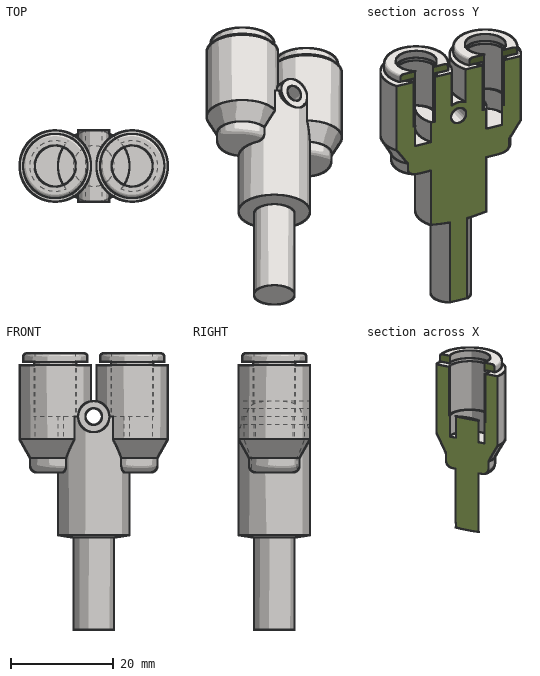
import cadquery as cq


total_height = 54.0
stem_bottom = 18.0
stem_edge = 18.45
branch_tip = 30.65
branch_neck_top = 33.6
branch_cone_top = 37.2
stem_top = 41.65
branch_top = 51.7
flange_bottom = 52.3

body_diameter = 14.0
tube_diameter = 8.0
branch_neck_diameter = 9.95
collar_diameter = 6.1
collar_hole_diameter = 3.2
sleeve_diameter = 8.35
flange_diameter = 12.6

overall_width = 29.0
branch_spacing = overall_width - body_diameter
branch_centers = (-branch_spacing / 2, branch_spacing / 2)
branch_tip_fillet = 1.45
flange_fillet = 0.7

socket_floor = branch_cone_top
sleeve_bottom = stem_top


def cylinder(diameter, bottom, top, center_x=0):
    """Upright cylinder between two heights."""
    return (
        cq.Workplane("XY", origin=(center_x, 0, bottom))
        .circle(diameter / 2)
        .extrude(top - bottom)
    )


def cross_cylinder(diameter):
    """Cylinder along Y on the level of the stem's top, as long as the body is wide."""
    return (
        cq.Workplane("XZ", origin=(0, 0, stem_top))
        .circle(diameter / 2)
        .extrude(body_diameter / 2, both=True)
    )


def make_stem():
    """Round stem with a shallow conical lower end, and the plug below it."""
    profile = [
        (0, 0),
        (tube_diameter / 2, 0),
        (tube_diameter / 2, stem_bottom),
        (body_diameter / 2, stem_edge),
        (body_diameter / 2, stem_top),
        (0, stem_top),
    ]
    return cq.Workplane("XZ").polyline(profile).close().revolve(360, (0, 0), (0, 1))


def make_branch(center_x):
    """Branch with a conical shoulder, a rounded tip and a stepped socket."""
    profile = [
        (0, branch_tip),
        (branch_neck_diameter / 2, branch_tip),
        (branch_neck_diameter / 2, branch_neck_top),
        (body_diameter / 2, branch_cone_top),
        (body_diameter / 2, branch_top),
        (0, branch_top),
    ]
    branch = cq.Workplane("XZ").polyline(profile).close().revolve(360, (0, 0), (0, 1))
    branch = branch.faces("<Z").edges().fillet(branch_tip_fillet)
    branch = branch.translate((center_x, 0, 0))
    tube_hole = cylinder(tube_diameter, socket_floor, branch_top, center_x)
    sleeve_hole = cylinder(sleeve_diameter, sleeve_bottom, branch_top, center_x)
    return branch.cut(tube_hole).cut(sleeve_hole)


def make_housing():
    """Stem, branches and cross collar; the stem's edge stays as a step in each socket."""
    housing = make_stem()
    for center_x in branch_centers:
        housing = housing.union(make_branch(center_x))
    housing = housing.union(cross_cylinder(collar_diameter))
    return housing.cut(cross_cylinder(collar_hole_diameter))


def make_release_sleeve(center_x):
    """Thin sleeve with a rounded push flange above the branch."""
    flange = cylinder(flange_diameter, flange_bottom, total_height, center_x)
    flange = flange.faces(">Z").edges().fillet(flange_fillet)
    sleeve = cylinder(sleeve_diameter, sleeve_bottom, total_height, center_x).union(flange)
    return sleeve.cut(cylinder(tube_diameter, sleeve_bottom, total_height, center_x))


housing = make_housing()
release_sleeves = [make_release_sleeve(center_x) for center_x in branch_centers]

sleeve_solids = [sleeve.solids().val() for sleeve in release_sleeves]
result = cq.Compound.makeCompound([housing.solids().val(), *sleeve_solids])